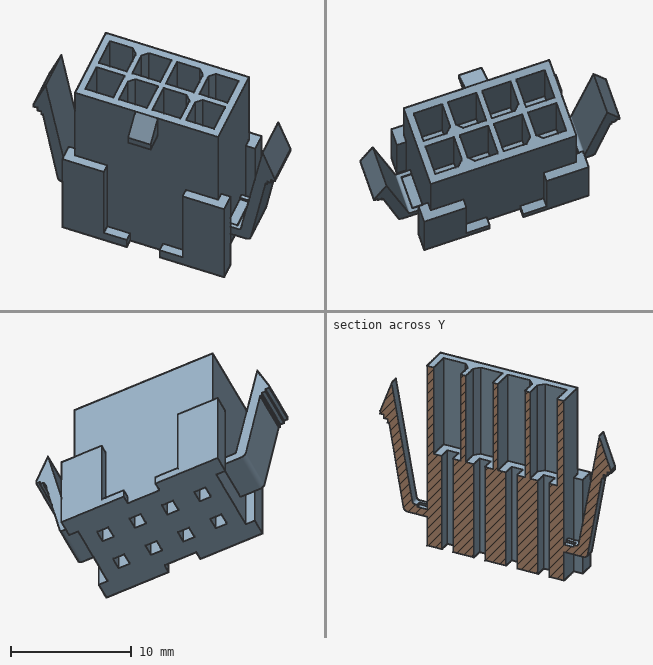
import cadquery as cq

OVERALL_WIDTH = 21.52
HEIGHT = 17.2

BODY_WIDTH = 12.76
BODY_DEPTH = 6.89

COLUMNS = 4
ROWS = 2
PITCH = 3.0
CELL_SIDE = 2.5
CELL_DEPTH = 8.25
CELL_KEY_CHAMFER = 0.47
PIN_HOLE_SIDE = 1.03
CELL_KEYS = ((0, -1, 1, -1), (1, -1, 1, -1))

GUARD_WIDTH = 14.42
GUARD_DEPTH = 8.4
GUARD_HEIGHT = 8.95
GUARD_SIDE_LEG = 1.45
GUARD_COLUMN_GAP = 7.02
GUARD_FOOT_GAP = 2.93
GUARD_FOOT_HEIGHT = 0.95

RAMP_WIDTH = 2.0
RAMP_REACH = 1.61
RAMP_HEIGHT = 2.25

CLIP_DEPTH = 3.5
CLIP_FOOT_BOTTOM = 2.73
CLIP_FOOT_TOP = 3.68
CLIP_HEEL_X = 8.55
CLIP_CROTCH_X = 7.68
CLIP_TIP_X = 9.66
CLIP_TIP_Z = 14.72
CLIP_BARB_TOP = 11.7
CLIP_BARB_BOTTOM = 11.43
CLIP_STEP = 0.35
CLIP_NECK_X = 9.92
CLIP_OUTER_RADIUS = 0.43
CLIP_INNER_RADIUS = 0.22

RECESS_WIDTH = 2.8
RECESS_END_X = 7.27
RECESS_DEPTH = 0.2


def box(x_min, x_max, y_min, y_max, z_min, z_max):
    """Axis-aligned block between two opposite corners."""
    size = (x_max - x_min, y_max - y_min, z_max - z_min)
    return cq.Workplane("XY").box(*size, centered=False).translate((x_min, y_min, z_min))


def centred_box(width, depth, z_min, z_max):
    """Block centred on the Z axis."""
    return box(-width / 2, width / 2, -depth / 2, depth / 2, z_min, z_max)


def corner_guards():
    """Four L-shaped guards with feet, left by clearing a full lower sleeve."""
    sleeve = centred_box(GUARD_WIDTH, GUARD_DEPTH, 0, GUARD_HEIGHT)
    end_gap_depth = GUARD_DEPTH - 2 * GUARD_SIDE_LEG
    core = centred_box(BODY_WIDTH, BODY_DEPTH, 0, GUARD_HEIGHT)
    end_gap = centred_box(GUARD_WIDTH, end_gap_depth, 0, GUARD_HEIGHT)
    foot_gap = centred_box(GUARD_FOOT_GAP, GUARD_DEPTH, 0, GUARD_FOOT_HEIGHT)
    column_gap = centred_box(GUARD_COLUMN_GAP, GUARD_DEPTH, GUARD_FOOT_HEIGHT, GUARD_HEIGHT)
    return sleeve.cut(core).cut(end_gap).cut(foot_gap).cut(column_gap)


def latch_ramp():
    """Catch on the front face whose 45-degree ramp starts at the top edge."""
    face_y = -BODY_DEPTH / 2
    profile = [
        (face_y, HEIGHT),
        (face_y - RAMP_REACH, HEIGHT - RAMP_REACH),
        (face_y - RAMP_REACH, HEIGHT - RAMP_HEIGHT),
        (face_y, HEIGHT - RAMP_HEIGHT),
    ]
    return cq.Workplane("YZ").polyline(profile).close().extrude(RAMP_WIDTH / 2, both=True)


def right_clip():
    """Barbed spring clip on the +X end, rising outward from a short foot."""
    barb_x = OVERALL_WIDTH / 2
    wall_x = BODY_WIDTH / 2
    profile = [
        (wall_x, CLIP_FOOT_BOTTOM),
        (CLIP_HEEL_X, CLIP_FOOT_BOTTOM),
        (CLIP_NECK_X, CLIP_BARB_BOTTOM - 2 * CLIP_STEP),
        (barb_x - 2 * CLIP_STEP, CLIP_BARB_BOTTOM - 2 * CLIP_STEP),
        (barb_x - 2 * CLIP_STEP, CLIP_BARB_BOTTOM - CLIP_STEP),
        (barb_x - CLIP_STEP, CLIP_BARB_BOTTOM - CLIP_STEP),
        (barb_x - CLIP_STEP, CLIP_BARB_BOTTOM),
        (barb_x, CLIP_BARB_BOTTOM),
        (barb_x, CLIP_BARB_TOP),
        (CLIP_TIP_X, CLIP_TIP_Z),
        (CLIP_CROTCH_X, CLIP_FOOT_TOP),
        (wall_x, CLIP_FOOT_TOP),
    ]
    clip = cq.Workplane("XZ").polyline(profile).close().extrude(CLIP_DEPTH / 2, both=True)
    heel = cq.selectors.NearestToPointSelector((CLIP_HEEL_X, 0, CLIP_FOOT_BOTTOM))
    crotch = cq.selectors.NearestToPointSelector((CLIP_CROTCH_X, 0, CLIP_FOOT_TOP))
    clip = clip.edges("|Y").edges(heel).fillet(CLIP_OUTER_RADIUS)
    clip = clip.edges("|Y").edges(crotch).fillet(CLIP_INNER_RADIUS)
    recess_floor = CLIP_FOOT_TOP - RECESS_DEPTH
    recess_side = RECESS_WIDTH / 2
    recess = box(wall_x, RECESS_END_X, -recess_side, recess_side, recess_floor, CLIP_FOOT_TOP)
    return clip.cut(recess)


def contact_cell(key_side):
    """Cavity of one contact cell with its pin hole; the keyed corner is filled in."""
    cell = centred_box(CELL_SIDE, CELL_SIDE, HEIGHT - CELL_DEPTH, HEIGHT)
    if key_side:
        corner = ">X and >Y" if key_side > 0 else "<X and >Y"
        cell = cell.edges("|Z").edges(corner).chamfer(CELL_KEY_CHAMFER)
    return cell.union(centred_box(PIN_HOLE_SIDE, PIN_HOLE_SIDE, 0, HEIGHT))


clip = right_clip()
result = (
    centred_box(BODY_WIDTH, BODY_DEPTH, 0, HEIGHT)
    .union(corner_guards())
    .union(latch_ramp())
    .union(clip)
    .union(clip.mirror("YZ"))
)

for row in range(ROWS):
    for column in range(COLUMNS):
        cell_x = (column - (COLUMNS - 1) / 2) * PITCH
        cell_y = (row - (ROWS - 1) / 2) * PITCH
        cell = contact_cell(CELL_KEYS[row][column])
        result = result.cut(cell.translate((cell_x, cell_y, 0)))